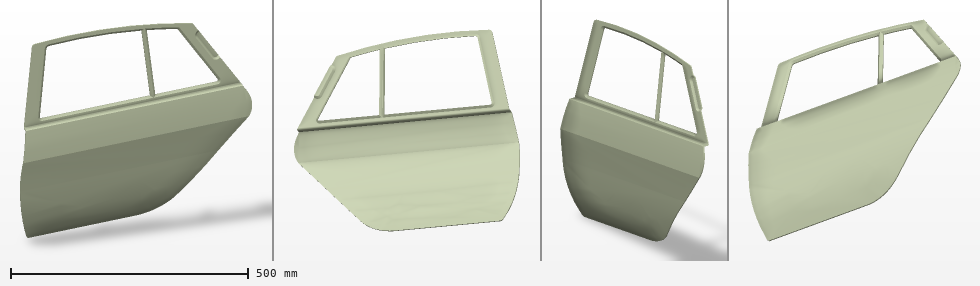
import math

import cadquery as cq


RISE_ANGLE = math.radians(4.5)
RISE = math.tan(RISE_ANGLE)

SHEET = 2.5
SKIN_X = 2.9

SILL_Z = -3.0
FLANK_Z = 128.7
CREASE_Z = 198.5
BELT_Z = 265.0
ROOF_CLEARANCE_Z = 480.0

SILL_X = -43.9
FLANK_X = -9.0
CREASE_X = 0.0
BELT_X = -16.0
BELT_EDGE_WIDTH = 3.5

BELT_EDGE_X = BELT_X - BELT_EDGE_WIDTH

SHOULDER_MID = (-5.4, 229.0)
WAIST_MID = (-5.9, 157.0)
LOWER_MID = (-20.0, 57.0)

PLATE_LEAN = math.radians(10.0)
PLATE_BASE_X = -31.9
INNER_BEND_RADIUS = 1.5
OUTER_BEND_RADIUS = INNER_BEND_RADIUS + SHEET
BELT_EDGE_DROP = 0.7

DOOR_LENGTH = 508.6
FRONT_BOTTOM = (26.0, -1.25)
FRONT_BELLY = (2.3, 95.0)
FRONT_TANGENT = (2.9, 190.0)
FRONT_TOP = (42.4, 442.3)
ROOF_PEAK = (217.0, 456.1)
REAR_TOP = (393.8, 444.2)
REAR_BELT = (498.0, 294.0)
REAR_BULGE = (DOOR_LENGTH, 263.5)
REAR_SHOULDER = (500.5, 237.8)
REAR_BOTTOM = (314.6, 21.4)
FRONT_TOP_RADIUS = 8.0
REAR_TOP_RADIUS = 4.0
FRONT_BOTTOM_RADIUS = 5.0
REAR_BOTTOM_RADIUS = 130.0

WINDOW_SILL_Z = 276.2
WINDOW_FRONT_TOP = (74.2, 433.4)
WINDOW_FRONT_BOTTOM_Y = 50.9
WINDOW_TOP_MID = (215.0, 442.9)
WINDOW_REAR_TOP = (361.0, 435.0)
WINDOW_REAR_BOTTOM_Y = 446.0
BAR_CENTRE = -301.5
BAR_WIDTH = 11.4

RIM_HEIGHT = 3.95
RIM_RUN = 4.8
RIM_TAPER = math.degrees(math.atan(RIM_RUN / RIM_HEIGHT))
WINDOW_FRONT_TOP_RADIUS = 12.0
WINDOW_RADIUS = 8.0
POCKET_TOP = (405.4, 428.0)
POCKET_BOTTOM = (449.6, 363.6)
POCKET_DEPTH = 14.4
POCKET_RADIUS = 10.0

CUT = 200.0

belt_forwards = cq.Vector(0, -math.cos(RISE_ANGLE), -math.sin(RISE_ANGLE))
belt_up = cq.Vector(0, -math.sin(RISE_ANGLE), math.cos(RISE_ANGLE))
plate_up = belt_up * math.cos(PLATE_LEAN) - cq.Vector(math.sin(PLATE_LEAN), 0, 0)
plate_inwards = belt_forwards.cross(plate_up)
PLATE_BASE_Z = BELT_Z - SHEET
plate_origin = cq.Vector(PLATE_BASE_X, 0, PLATE_BASE_Z)


def plate_plane():
    """Plane of the plate's inner face."""
    return cq.Plane(plate_origin, belt_forwards, plate_inwards)


def on_plate(point):
    """Plate coordinates of a (y, z) point of the plate's inner face."""
    y, z = point
    along = -y * math.cos(RISE_ANGLE) - (z - PLATE_BASE_Z) * math.sin(RISE_ANGLE)
    across = (z - PLATE_BASE_Z) * math.cos(RISE_ANGLE) - y * math.sin(RISE_ANGLE)
    return along, across / math.cos(PLATE_LEAN)


def extrude_along_belt(section):
    """Prism of an XZ section along the rising belt direction."""
    margin = 20.0
    start = cq.Vector(0, -margin, -margin * RISE)
    length = DOOR_LENGTH + 2 * margin
    wire = section.wire().val().translate(start)
    return cq.Workplane(cq.Solid.extrudeLinear(wire, [], cq.Vector(0, length, length * RISE)))


def inside(point):
    """Point of the skin's inner surface behind an outer point."""
    return point[0] - SKIN_X, point[1]


def skin():
    belt = (BELT_X, BELT_Z - BELT_EDGE_DROP)
    crease = (CREASE_X, CREASE_Z)
    flank = (FLANK_X, FLANK_Z)
    sill = (SILL_X, SILL_Z)
    section = (
        cq.Workplane("XZ")
        .moveTo(*belt)
        .threePointArc(SHOULDER_MID, crease)
        .threePointArc(WAIST_MID, flank)
        .threePointArc(LOWER_MID, sill)
        .lineTo(*inside(sill))
        .threePointArc(inside(LOWER_MID), inside(flank))
        .threePointArc(inside(WAIST_MID), inside(crease))
        .threePointArc(inside(SHOULDER_MID), (BELT_EDGE_X, PLATE_BASE_Z))
        .lineTo(BELT_EDGE_X, BELT_Z)
        .close()
    )
    return extrude_along_belt(section)


def shelf_and_plate():
    lean = math.tan(PLATE_LEAN) * math.cos(RISE_ANGLE)
    rise = ROOF_CLEARANCE_Z - PLATE_BASE_Z
    outer_face_x = PLATE_BASE_X + SHEET / math.cos(PLATE_LEAN)
    inner_corner = (outer_face_x - lean * SHEET, BELT_Z)
    outer_corner = (PLATE_BASE_X, PLATE_BASE_Z)
    section = (
        cq.Workplane("XZ")
        .moveTo(*outer_corner)
        .lineTo(BELT_EDGE_X, PLATE_BASE_Z)
        .lineTo(BELT_EDGE_X, BELT_Z)
        .lineTo(*inner_corner)
        .lineTo(outer_face_x - lean * rise, ROOF_CLEARANCE_Z)
        .lineTo(PLATE_BASE_X - lean * rise, ROOF_CLEARANCE_Z)
        .close()
    )
    sheet = extrude_along_belt(section)
    middle_y = DOOR_LENGTH / 2
    for (x, z), radius in ((outer_corner, OUTER_BEND_RADIUS), (inner_corner, INNER_BEND_RADIUS)):
        bend = cq.NearestToPointSelector((x, middle_y, z + RISE * middle_y))
        sheet = sheet.edges(bend).fillet(radius)
    return sheet


def door_outline():
    """Prism along X of the door's side outline."""
    outline = (
        cq.Workplane("YZ", origin=(-CUT / 2, 0, 0))
        .moveTo(*FRONT_BOTTOM)
        .threePointArc(FRONT_BELLY, FRONT_TANGENT)
        .lineTo(*FRONT_TOP)
        .threePointArc(ROOF_PEAK, REAR_TOP)
        .lineTo(*REAR_BELT)
        .threePointArc(REAR_BULGE, REAR_SHOULDER)
        .lineTo(*REAR_BOTTOM)
        .close()
        .extrude(CUT)
    )
    corners = (
        (FRONT_TOP, FRONT_TOP_RADIUS),
        (REAR_TOP, REAR_TOP_RADIUS),
        (FRONT_BOTTOM, FRONT_BOTTOM_RADIUS),
        (REAR_BOTTOM, REAR_BOTTOM_RADIUS),
    )
    for corner, radius in corners:
        outline = outline.edges(cq.NearestToPointSelector((0, *corner))).fillet(radius)
    return outline


def round_corners(prism, corners, plane):
    """Fillet the edges of a prism on `plane` that pass nearest the given plate points."""
    for corner, radius in corners:
        point = plane.toWorldCoords((*corner, CUT / 2))
        prism = prism.edges(cq.NearestToPointSelector(point.toTuple())).fillet(radius)
    return prism


def base_contour(prism):
    """Outer wire of the outermost face of a prism across the plate."""
    return prism.faces(cq.DirectionMinMaxSelector(plate_inwards, False)).val().outerWire()


def window_prism():
    """Prism across the plate with the outer contour of the window rims, undivided."""
    plane = plate_plane()
    front_top = on_plate(WINDOW_FRONT_TOP)
    rear_top = on_plate(WINDOW_REAR_TOP)
    front_bottom = on_plate((WINDOW_FRONT_BOTTOM_Y, WINDOW_SILL_Z + RISE * WINDOW_FRONT_BOTTOM_Y))
    rear_bottom = on_plate((WINDOW_REAR_BOTTOM_Y, WINDOW_SILL_Z + RISE * WINDOW_REAR_BOTTOM_Y))
    opening = (
        cq.Workplane(plane)
        .moveTo(*front_bottom)
        .lineTo(*front_top)
        .threePointArc(on_plate(WINDOW_TOP_MID), rear_top)
        .lineTo(*rear_bottom)
        .close()
    )
    prism = opening.offset2D(RIM_RUN, "intersection").extrude(CUT)
    corners = (
        (front_top, WINDOW_FRONT_TOP_RADIUS),
        (rear_top, WINDOW_RADIUS),
        (front_bottom, WINDOW_RADIUS),
        (rear_bottom, WINDOW_RADIUS),
    )
    return round_corners(prism, corners, plane)


def pane_contours():
    """Outer contours of the rims of the front and rear panes."""
    window = window_prism()
    half_gap = BAR_WIDTH / 2 - RIM_RUN
    reach = DOOR_LENGTH
    contours = []
    for side in (-1, 1):
        half = (
            cq.Workplane(plate_plane())
            .center(BAR_CENTRE + side * (half_gap + reach / 2), 0)
            .rect(reach, reach)
            .extrude(CUT)
        )
        contours.append(base_contour(window.intersect(half)))
    return contours


def pocket_contour():
    """Outer contour of the handle pocket, running out past the plate's rear edge."""
    top = cq.Vector(*on_plate(POCKET_TOP), 0)
    bottom = cq.Vector(*on_plate(POCKET_BOTTOM), 0)
    along = (bottom - top).normalized()
    angle = math.degrees(math.atan2(along.y, along.x))
    middle = (top + bottom) * 0.5
    plane = plate_plane().rotated((0, 0, angle))
    plane.origin = plate_plane().toWorldCoords(middle.toTuple())
    block = (
        cq.Workplane(plane)
        .rect((bottom - top).Length, 2 * POCKET_DEPTH)
        .extrude(CUT)
        .edges(cq.ParallelDirSelector(plate_inwards))
        .fillet(POCKET_RADIUS)
    )
    return base_contour(block)


def pressing(contour):
    """Tapered boss inside `contour`, raised inwards from the plate."""
    return cq.Workplane(plate_plane()).add(contour).toPending().extrude(RIM_HEIGHT, taper=RIM_TAPER)


def pressed(body, contour, is_open):
    """Press the sheet inwards within `contour`; an open pressing loses its floor."""
    boss = pressing(contour)
    hollow = boss.translate((plate_inwards * -SHEET).toTuple())
    body = body.union(boss).cut(hollow)
    if is_open:
        floor = boss.faces(cq.DirectionMinMaxSelector(plate_inwards, True)).val().outerWire()
        through = cq.Solid.extrudeLinear(floor, [], plate_inwards * -CUT)
        body = body.cut(cq.Workplane(through))
    return body


def door():
    body = shelf_and_plate()
    for contour in pane_contours():
        body = pressed(body, contour, True)
    body = pressed(body, pocket_contour(), False)
    return body.union(skin()).intersect(door_outline())


result = door()